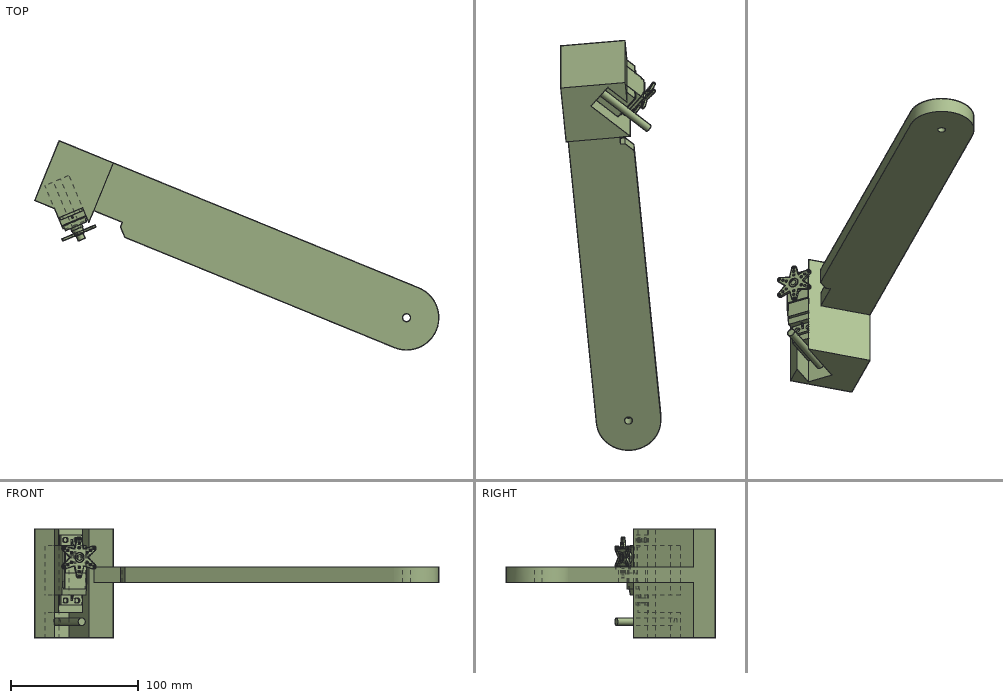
import cadquery as cq
import math

overall_length = 317.0
arm_tilt = 22.25
servo_turn = 45.0

frame_width = 50.7
block_length = 46.0
block_height = 85.5
arm_thickness = 12.5
arm_bottom = 43.5
arm_end_radius = frame_width / 2
arm_end_x = (
    overall_length - arm_end_radius - arm_end_radius * math.sin(math.radians(arm_tilt))
) / math.cos(math.radians(arm_tilt))
arm_hole_diameter = 6.0
neck_width = 40.5
neck_end_x = 70.0
neck_step = 3.8

slot_width = 20.5
slot_corner_depth = 40.3
mount_depth = 27.5
mount_bottom = 20.0

case_bottom = 33.5
case_top = 72.5
case_middle = (case_bottom + case_top) / 2
case_edge_depth = 34.3
case_depth = 36.8
slope_top = 46.0
top_chamfer = 1.3
cover_width = 18.0
cover_bottom = 38.5
cover_depth = 37.7
gear_cover_bottom = 50.7
gear_cover_depth = 39.0
cover_top = case_top - top_chamfer
flange_width = 18.5
flange_height = 55.0
flange_thickness = 2.2
flange_hole_diameter = 4.0
flange_hole_pitch_x = 9.8
flange_hole_pitch_z = 47.5
rib_width = 1.3
rib_length = 4.5
rib_rise = 2.2
shaft_z = 63.0
shaft_radius = 4.8
shaft_end = 41.2

horn_arms = 6
horn_back = 43.8
horn_thickness = 2.0
horn_front = horn_back + horn_thickness
horn_tip_centre = 14.3
horn_tip_half_width = 2.0
horn_notch_radius = 7.5
horn_collar_radius = 4.5
horn_hub_radius = 3.8
horn_hub_front = horn_front + 0.5
horn_hole_diameter = 2.0
horn_hole_start = 7.5
horn_hole_pitch = 3.5
horn_hole_count = 3

screw_head_radius = 2.2
screw_head_back = 45.0
screw_shank_radius = 1.3
screw_tip = 38.0

pin_diameter = 6.0
pin_length = 50.5
pin_z = 12.7


def slot_box(width, start, end, bottom, top):
    """Box centred across the slot, from depth start to depth end (outward is -Y)."""
    return (
        cq.Workplane("XY")
        .box(width, end - start, top - bottom, centered=(True, False, False))
        .translate((0, -end, bottom))
    )


def slot_rod(radius, start, end, z):
    """Rod along the slot direction, on the centre line of the slot."""
    return (
        cq.Workplane("XZ", origin=(0, -start, z))
        .circle(radius)
        .extrude(end - start)
    )


def place_in_frame(body):
    """Turn a body from slot coordinates to frame coordinates."""
    turn = math.radians(servo_turn)
    corner_x = slot_width / 2
    corner_y = -slot_corner_depth
    turned_x = corner_x * math.cos(turn) - corner_y * math.sin(turn)
    turned_y = corner_x * math.sin(turn) + corner_y * math.cos(turn)
    return body.rotate((0, 0, 0), (0, 0, 1), servo_turn).translate(
        (block_length - turned_x, -frame_width - turned_y, 0)
    )


def tilt(body):
    return body.rotate((0, 0, 0), (0, 0, 1), -arm_tilt)


def make_arm():
    shoulder = frame_width - neck_width - neck_step
    return (
        cq.Workplane("XY", origin=(0, 0, arm_bottom))
        .moveTo(block_length, 0)
        .lineTo(arm_end_x, 0)
        .threePointArc(
            (arm_end_x + arm_end_radius, -frame_width / 2), (arm_end_x, -frame_width)
        )
        .lineTo(neck_end_x + shoulder, -frame_width)
        .lineTo(neck_end_x, -neck_width - neck_step)
        .lineTo(neck_end_x, -neck_width)
        .lineTo(block_length, -neck_width)
        .close()
        .extrude(arm_thickness)
        .faces(">Z")
        .workplane(origin=(arm_end_x, -frame_width / 2, 0))
        .hole(arm_hole_diameter)
    )


def make_block():
    block = cq.Workplane("XY").box(
        block_length, frame_width, block_height, centered=False
    ).translate((0, -frame_width, 0))
    slot = slot_box(slot_width, 0, 2 * slot_corner_depth, 0, block_height)
    lower_mount = slot_box(slot_width, 0, mount_depth, mount_bottom, case_bottom)
    upper_mount = slot_box(slot_width, 0, mount_depth, case_top, block_height)
    return (
        block.cut(place_in_frame(slot))
        .union(place_in_frame(lower_mount))
        .union(place_in_frame(upper_mount))
    )


def make_frame():
    return make_block().union(make_arm())


def make_case():
    profile = [
        (0, case_bottom),
        (-case_edge_depth, case_bottom),
        (-case_depth, slope_top),
        (-case_depth, cover_top),
        (-case_edge_depth - top_chamfer / 2, cover_top),
        (-case_edge_depth, case_top),
        (0, case_top),
    ]
    case = cq.Workplane("YZ").polyline(profile).close().extrude(slot_width / 2, both=True)
    cover = slot_box(cover_width, mount_depth, cover_depth, cover_bottom, cover_top)
    gear_cover = slot_box(
        cover_width, mount_depth, gear_cover_depth, gear_cover_bottom, cover_top
    )
    return case.union(cover).union(gear_cover)


def make_flange():
    flange = slot_box(
        flange_width,
        mount_depth,
        mount_depth + flange_thickness,
        case_middle - flange_height / 2,
        case_middle + flange_height / 2,
    )
    holes = (
        cq.Workplane("XZ", origin=(0, -mount_depth, case_middle))
        .rarray(flange_hole_pitch_x, flange_hole_pitch_z, 2, 2)
        .circle(flange_hole_diameter / 2)
        .extrude(flange_thickness)
    )
    return flange.cut(holes)


def make_rib(case_edge, direction):
    """Triangular rib between the flange and one end of the case."""
    flange_face = -mount_depth - flange_thickness
    return (
        cq.Workplane("YZ")
        .moveTo(flange_face, case_edge)
        .lineTo(flange_face - rib_rise, case_edge)
        .lineTo(flange_face, case_edge + direction * rib_length)
        .close()
        .extrude(rib_width / 2, both=True)
    )


def make_servo():
    shaft = slot_rod(shaft_radius, mount_depth, shaft_end, shaft_z)
    screw_hole = slot_rod(screw_shank_radius, screw_tip, shaft_end, shaft_z)
    return (
        make_case()
        .union(make_flange())
        .union(make_rib(case_top, 1))
        .union(make_rib(case_bottom, -1))
        .union(shaft)
        .cut(screw_hole)
    )


def make_horn_arm(angle):
    """One tapered arm with a round tip and a row of holes."""
    half_sector = math.pi / horn_arms
    root_x = horn_notch_radius * math.cos(half_sector)
    root_half_width = horn_notch_radius * math.sin(half_sector)
    hole_spots = [
        (horn_hole_start + i * horn_hole_pitch, 0) for i in range(horn_hole_count)
    ]
    plane = cq.Workplane("XZ", origin=(0, -horn_back, shaft_z))
    arm = (
        plane.moveTo(0, 0)
        .lineTo(root_x, -root_half_width)
        .lineTo(horn_tip_centre, -horn_tip_half_width)
        .threePointArc(
            (horn_tip_centre + horn_tip_half_width, 0),
            (horn_tip_centre, horn_tip_half_width),
        )
        .lineTo(root_x, root_half_width)
        .close()
        .extrude(horn_thickness)
    )
    holes = (
        plane.pushPoints(hole_spots).circle(horn_hole_diameter / 2).extrude(horn_thickness)
    )
    return arm.cut(holes).rotate((0, 0, shaft_z), (0, 1, shaft_z), angle)


def make_horn():
    horn = slot_rod(horn_collar_radius, shaft_end, horn_back, shaft_z).union(
        slot_rod(horn_hub_radius, horn_back, horn_hub_front, shaft_z)
    )
    for i in range(horn_arms):
        horn = horn.union(make_horn_arm(90 + i * 360 / horn_arms))
    return horn.cut(make_screw())


def make_screw():
    head = slot_rod(screw_head_radius, screw_head_back, horn_hub_front, shaft_z)
    shank = slot_rod(screw_shank_radius, screw_tip, screw_head_back, shaft_z)
    return head.union(shank)


def make_pin():
    return slot_rod(pin_diameter / 2, 0, pin_length, pin_z)


frame = tilt(make_frame())
servo = tilt(place_in_frame(make_servo()))
horn = tilt(place_in_frame(make_horn()))
screw = tilt(place_in_frame(make_screw()))
pin = tilt(place_in_frame(make_pin()))

bodies = [frame, servo, horn, screw, pin]
result = cq.Compound.makeCompound([body.solids().val() for body in bodies])